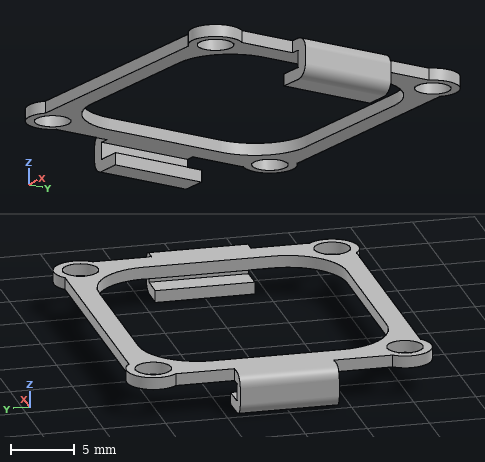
import cadquery as cq

SHEET = 1.0
OVERALL_LENGTH = 30.1
OVERALL_WIDTH = 24.59
OVERALL_HEIGHT = 3.4

FRAME_LENGTH = 26.5
FRAME_WIDTH = 23.5
WINDOW_LENGTH = 22.05
WINDOW_WIDTH = 20.0
WINDOW_CORNER_RADIUS = 4.75

EYELET_RADIUS = 2.15
EYELET_HOLE_DIAMETER = 2.85
EYELET_SPACING_X = 23.25
EYELET_SPACING_Y = OVERALL_WIDTH - 2 * EYELET_RADIUS

CLIP_OUTER_WIDTH = 8.0
CLIP_INNER_WIDTH = 8.06
CLIP_WALL = 1.05
CLIP_LIP_REACH = 2.0
BEND_RADIUS = 1.02

CLIP_ROOT_X = WINDOW_LENGTH / 2
CLIP_OUTER_X = OVERALL_LENGTH / 2
CLIP_INNER_X = CLIP_OUTER_X - CLIP_WALL
BEND_START_X = CLIP_OUTER_X - BEND_RADIUS
LIP_END_X = CLIP_INNER_X - CLIP_LIP_REACH
LIP_BOTTOM_Z = SHEET - OVERALL_HEIGHT
LIP_TOP_Z = LIP_BOTTOM_Z + SHEET


def make_frame():
    """Flat rectangular plate with round eyelets, pierced by the window and holes."""
    window = (
        cq.Workplane("XY")
        .rect(WINDOW_LENGTH, WINDOW_WIDTH)
        .extrude(SHEET)
        .edges("|Z")
        .fillet(WINDOW_CORNER_RADIUS)
    )
    eyelet_centers = (
        cq.Workplane("XY")
        .rect(EYELET_SPACING_X, EYELET_SPACING_Y, forConstruction=True)
        .vertices()
    )
    eyelets = eyelet_centers.circle(EYELET_RADIUS).extrude(SHEET)
    holes = eyelet_centers.circle(EYELET_HOLE_DIAMETER / 2).extrude(SHEET)
    plate = (
        cq.Workplane("XY")
        .rect(FRAME_LENGTH, FRAME_WIDTH)
        .extrude(SHEET)
        .edges("|Z")
        .fillet(EYELET_RADIUS)
    )
    return plate.union(eyelets).cut(window).cut(holes)


def make_clip():
    """Clip on the +X side: root strip, rounded wall and inward lip, with tapered ends."""
    hook = (
        cq.Workplane("XZ")
        .moveTo(CLIP_ROOT_X, SHEET)
        .lineTo(BEND_START_X, SHEET)
        .radiusArc((CLIP_OUTER_X, SHEET - BEND_RADIUS), BEND_RADIUS)
        .lineTo(CLIP_OUTER_X, LIP_BOTTOM_Z + BEND_RADIUS)
        .radiusArc((BEND_START_X, LIP_BOTTOM_Z), BEND_RADIUS)
        .lineTo(LIP_END_X, LIP_BOTTOM_Z)
        .lineTo(LIP_END_X, LIP_TOP_Z)
        .lineTo(CLIP_INNER_X, LIP_TOP_Z)
        .lineTo(CLIP_INNER_X, 0)
        .lineTo(CLIP_ROOT_X, 0)
        .close()
        .extrude(CLIP_INNER_WIDTH / 2, both=True)
    )

    taper = (
        cq.Workplane("XY", origin=(0, 0, LIP_BOTTOM_Z))
        .moveTo(CLIP_ROOT_X, -CLIP_INNER_WIDTH / 2)
        .lineTo(LIP_END_X, -CLIP_INNER_WIDTH / 2)
        .lineTo(CLIP_OUTER_X, -CLIP_OUTER_WIDTH / 2)
        .lineTo(CLIP_OUTER_X, CLIP_OUTER_WIDTH / 2)
        .lineTo(LIP_END_X, CLIP_INNER_WIDTH / 2)
        .lineTo(CLIP_ROOT_X, CLIP_INNER_WIDTH / 2)
        .close()
        .extrude(OVERALL_HEIGHT)
    )
    return hook.intersect(taper)


right_clip = make_clip()
left_clip = right_clip.mirror("YZ")
result = make_frame().union(right_clip).union(left_clip)